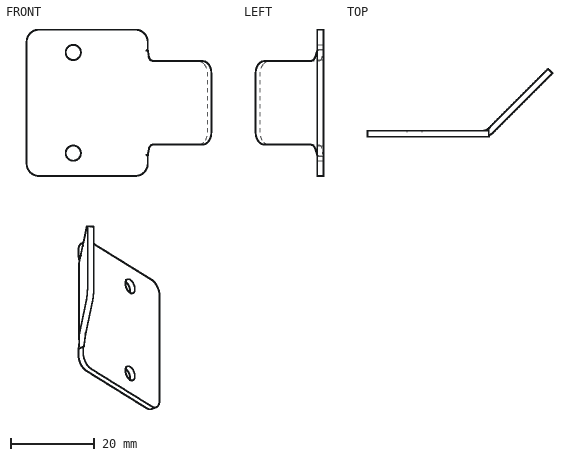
import cadquery as cq
import math

total_length = 44.2
thickness = 1.5
plate_length = 29.0
plate_height = 35.0
corner_radius = 3.0
hole_diameter = 3.6
hole_x = 11.2
hole_spacing = 24.05

tab_width = 20.0
bend_angle = math.radians(45)
bend_start = 27.75
inner_bend_radius = 1.5
outer_bend_radius = inner_bend_radius + thickness

web_height = 2.8
web_lean = 0.57
web_radius = 1.25
web_end_outer = 0.75
web_end_inner = 1.8
hollow_reach = 4 * thickness

bend_reach = plate_length - bend_start
tab_half = tab_width / 2
tab_direction = (math.cos(bend_angle), math.sin(bend_angle))
tab_length = (
    total_length - bend_start - outer_bend_radius * math.sin(bend_angle)
) / math.cos(bend_angle)


def bend_point(radius, angle, run=0.0):
    """XY point on a bend arc, optionally moved along the straight tab."""
    return (
        bend_start + radius * math.sin(angle) + run * tab_direction[0],
        outer_bend_radius - radius * math.cos(angle) + run * tab_direction[1],
    )


def bent_profile(outer_run, inner_run, z):
    """Closed section of the bend with its straight run, at height z."""
    return (
        cq.Workplane("XY", origin=(0, 0, z))
        .moveTo(bend_start, 0)
        .threePointArc(
            bend_point(outer_bend_radius, bend_angle / 2),
            bend_point(outer_bend_radius, bend_angle),
        )
        .lineTo(*bend_point(outer_bend_radius, bend_angle, outer_run))
        .lineTo(*bend_point(inner_bend_radius, bend_angle, inner_run))
        .lineTo(*bend_point(inner_bend_radius, bend_angle))
        .threePointArc(bend_point(inner_bend_radius, bend_angle / 2), (bend_start, thickness))
        .close()
    )


def make_plate():
    plate = (
        cq.Workplane("XY")
        .box(plate_length, thickness, plate_height, centered=(False, False, True))
        .edges("|Y")
        .fillet(corner_radius)
    )
    holes = (
        cq.Workplane("XZ")
        .pushPoints([(hole_x, -hole_spacing / 2), (hole_x, hole_spacing / 2)])
        .circle(hole_diameter / 2)
        .extrude(-thickness)
    )
    opening_outer = tab_half + web_height
    opening_inner = opening_outer - bend_reach
    opening = (
        cq.Workplane("XZ")
        .polyline([
            (bend_start, -opening_inner),
            (plate_length, -opening_outer),
            (plate_length, opening_outer),
            (bend_start, opening_inner),
        ])
        .close()
        .extrude(-thickness)
    )
    return plate.cut(holes).cut(opening)


def make_tab():
    tab = bent_profile(tab_length, tab_length, -tab_half).extrude(tab_width)
    tip_direction = cq.Vector(*tab_direction, 0)
    face_normal = cq.Vector(-tab_direction[1], tab_direction[0], 0)
    return (
        tab.faces(cq.selectors.DirectionMinMaxSelector(tip_direction))
        .edges(cq.selectors.ParallelDirSelector(face_normal))
        .fillet(corner_radius)
    )


def make_web():
    """Upper web: lofted from the plate's diagonal cut to the tab side, then hollowed."""
    split = 0.7
    diagonal_points = []
    for y, fractions in ((0, (0, split, 1)), (thickness, (1, split, 0))):
        for fraction in fractions:
            drop = bend_reach * (1 - fraction)
            diagonal_points.append(
                (bend_start + bend_reach * fraction, y, tab_half + web_height - drop)
            )
    plate_wire = cq.Wire.makePolygon([cq.Vector(*p) for p in diagonal_points], close=True)
    tab_wire = bent_profile(web_end_outer, web_end_inner, tab_half).wires().val()
    blank = cq.Workplane(cq.Solid.makeLoft([plate_wire, tab_wire], True))

    end_outer = cq.Vector(*bend_point(outer_bend_radius, bend_angle, web_end_outer), 0)
    end_inner = cq.Vector(*bend_point(inner_bend_radius, bend_angle, web_end_inner), 0)
    axis = (end_inner - end_outer).normalized()
    across = axis.cross(cq.Vector(0, 0, 1))
    hollow_width = (end_outer - cq.Vector(plate_length, 0, 0)).dot(across)
    hollow_origin = end_outer + cq.Vector(0, 0, tab_half)
    hollow_plane = cq.Plane(origin=hollow_origin, xDir=across, normal=axis * -1)
    hollow = (
        cq.Workplane(hollow_plane)
        .polyline([
            (-hollow_width, web_height),
            (web_lean - hollow_width, 0),
            (hollow_width, 0),
            (hollow_width, web_height),
        ])
        .close()
        .extrude(hollow_reach, both=True)
        .edges(cq.selectors.NearestToPointSelector(
            (hollow_origin + across * (web_lean - hollow_width)).toTuple()))
        .fillet(web_radius)
    )
    return blank.cut(hollow)


web = make_web()
result = make_plate().union(make_tab()).union(web).union(web.mirror("XY"))